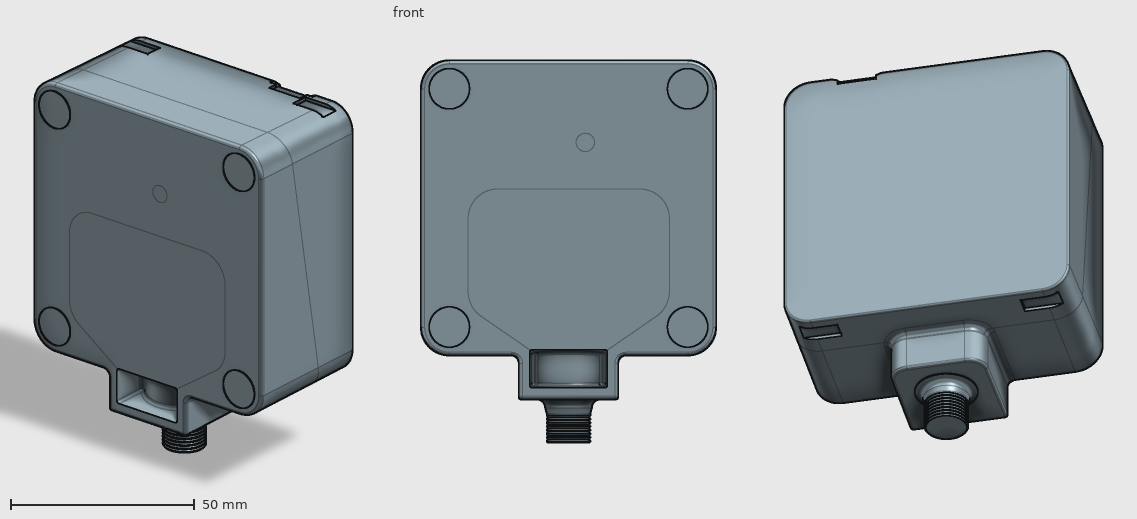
import cadquery as cq
import math


PICK_MARGIN = 1.0

HOUSING_SIZE = 80.47
HOUSING_DEPTH = 40.1
HOUSING_CORNER_RADIUS = 7.8
HOUSING_DRAFT_ANGLE = 0.5
FRONT_EDGE_RADIUS = 1.0
REAR_EDGE_RADIUS = 0.6
HALF_SIZE = HOUSING_SIZE / 2
CORNER_CENTRE = HALF_SIZE - HOUSING_CORNER_RADIUS

PARTING_DEPTH_TOP = 12.1
PARTING_DEPTH_BOTTOM = 26.0
PARTING_MARGIN = 5.0

PAD_DIAMETER = 11.0
PAD_HEIGHT = 0.2

INLAY_THICKNESS = 1.0
LED_DIAMETER = 5.0
LED_X = 4.5
LED_Z = 17.9
LABEL_HALF_WIDTH = 27.4
LABEL_TOP = 5.2
LABEL_SIDE_BOTTOM = -27.0
LABEL_CORNER_RADIUS = 8.0

LUG_HALF_WIDTH = 13.6
LUG_BOTTOM = -52.2
LUG_DEPTH = 29.3
LUG_REAR_CORNER_RADIUS = 5.3
LUG_ROOT_RADIUS = 2.0
LUG_EDGE_RADIUS = 0.8
LUG_OVERLAP = 5.0

WINDOW_HALF_WIDTH = 10.6
WINDOW_TOP = -38.6
WINDOW_BOTTOM = -49.0
WINDOW_DEPTH = 9.6
WINDOW_DRAFT_ANGLE = 3.4
WINDOW_CORNER_RADIUS = 0.8
NECK_RADIUS = 10.8
NECK_FOOT_RADIUS = 1.0

CONNECTOR_DEPTH = 16.1
OVERALL_HEIGHT = 104.24
CONNECTOR_END = HALF_SIZE - OVERALL_HEIGHT
THREAD_RADIUS = 6.0
THREAD_ROOT_RADIUS = 5.6
THREAD_PITCH = 1.0
THREAD_TURNS = 7
COLLAR_RADIUS = 6.4
COLLAR_HEIGHT = 1.5
FLARE_RADIUS = 2.2
STEM_OVERLAP = 1.0

NOTCH_FRONT = 31.5
NOTCH_REAR = 36.9
NOTCH_INNER_X = 25.6
NOTCH_FLOOR = 38.9

LATCH_CENTRE_X = 19.45
LATCH_WIDTH = 16.8
LATCH_FRONT = 38.4
LATCH_FLOOR = 39.0
TONGUE_WIDTH = 10.8
TONGUE_FRONT = 35.3
GROOVE_FRONT = 39.2
GROOVE_FLOOR = 37.8


def box_between(x_range, y_range, z_range):
    """Axis-aligned box given by its lower and upper limits."""
    size = [high - low for low, high in (x_range, y_range, z_range)]
    return (
        cq.Workplane("XY")
        .box(*size, centered=False)
        .translate((x_range[0], y_range[0], z_range[0]))
    )


def front_plane():
    """Sketch plane on the front face: local x is X, local y is Z, normal is -Y."""
    return cq.Workplane("XZ")


def depth_plane():
    """Sketch plane on the front face that extrudes rearwards: local x is -X, local y is Z."""
    return cq.Workplane(cq.Plane((0, 0, 0), xDir=(-1, 0, 0), normal=(0, 1, 0)))


def make_housing():
    """Rounded square block that narrows slightly towards the rear."""
    front_growth = FRONT_EDGE_RADIUS * math.tan(math.radians(HOUSING_DRAFT_ANGLE))
    front_size = HOUSING_SIZE + 2 * front_growth
    corner_radius = HOUSING_CORNER_RADIUS + front_growth
    outline = cq.Sketch().rect(front_size, front_size).vertices().fillet(corner_radius)
    block = (
        depth_plane()
        .placeSketch(outline)
        .extrude(HOUSING_DEPTH, taper=HOUSING_DRAFT_ANGLE)
    )
    return block.faces(">Y").edges().fillet(REAR_EDGE_RADIUS)


def make_lug():
    """Drafted block, rounded at the rear corners and along the bottom."""
    lug_top = LUG_OVERLAP - HALF_SIZE
    block = (
        depth_plane()
        .center(0, (lug_top + LUG_BOTTOM) / 2)
        .rect(2 * LUG_HALF_WIDTH, lug_top - LUG_BOTTOM)
        .extrude(LUG_DEPTH, taper=HOUSING_DRAFT_ANGLE)
    )
    block = block.faces(">Y").edges("|Z").fillet(LUG_REAR_CORNER_RADIUS)
    return block.faces("<Z").edges("not <Y").fillet(LUG_EDGE_RADIUS)


def round_lug_root(body):
    """Blend the sides and rear of the lug into the underside of the housing."""
    root_box = cq.selectors.BoxSelector(
        (-LUG_HALF_WIDTH - PICK_MARGIN, 0, -HALF_SIZE - PICK_MARGIN),
        (LUG_HALF_WIDTH + PICK_MARGIN, LUG_DEPTH + PICK_MARGIN, -HALF_SIZE + PICK_MARGIN),
    )
    return body.edges(root_box).fillet(LUG_ROOT_RADIUS)


def make_window():
    """Drafted pocket volume, less the rounded neck that stands at its back."""
    height = WINDOW_TOP - WINDOW_BOTTOM
    pocket = (
        depth_plane()
        .center(0, (WINDOW_TOP + WINDOW_BOTTOM) / 2)
        .rect(2 * WINDOW_HALF_WIDTH, height)
        .extrude(WINDOW_DEPTH, taper=WINDOW_DRAFT_ANGLE)
        .edges("not <Y")
        .fillet(WINDOW_CORNER_RADIUS)
    )
    neck = (
        cq.Workplane("XY", origin=(0, CONNECTOR_DEPTH, WINDOW_BOTTOM))
        .circle(NECK_RADIUS)
        .extrude(height)
    )
    return pocket.cut(neck).edges("%ELLIPSE").edges(">Y").fillet(NECK_FOOT_RADIUS)


def make_connector():
    """Flared stem with ring-shaped thread crests, turned about a vertical axis."""
    thread_top = CONNECTOR_END + (THREAD_TURNS + 0.5) * THREAD_PITCH
    flare_bottom = LUG_BOTTOM - FLARE_RADIUS
    flare_rim = COLLAR_RADIUS + FLARE_RADIUS
    flare_inset = FLARE_RADIUS * (1 - math.sqrt(0.5))
    profile = (
        cq.Workplane("XZ")
        .moveTo(0, LUG_BOTTOM + STEM_OVERLAP)
        .lineTo(flare_rim, LUG_BOTTOM + STEM_OVERLAP)
        .lineTo(flare_rim, LUG_BOTTOM)
        .threePointArc(
            (COLLAR_RADIUS + flare_inset, LUG_BOTTOM - flare_inset),
            (COLLAR_RADIUS, flare_bottom),
        )
        .lineTo(THREAD_RADIUS, flare_bottom - COLLAR_HEIGHT)
        .lineTo(THREAD_RADIUS, thread_top)
    )
    for turn in range(THREAD_TURNS):
        crest_z = thread_top - turn * THREAD_PITCH
        profile = profile.lineTo(THREAD_ROOT_RADIUS, crest_z - THREAD_PITCH / 2)
        profile = profile.lineTo(THREAD_RADIUS, crest_z - THREAD_PITCH)
    profile = profile.lineTo(THREAD_ROOT_RADIUS, CONNECTOR_END).lineTo(0, CONNECTOR_END).close()
    stem = profile.revolve(360, (0, 0, 0), (0, 1, 0))
    return stem.translate((0, CONNECTOR_DEPTH, 0))


def make_notches():
    """Four shallow notches near the corners of the top and bottom faces."""
    notch = box_between(
        (NOTCH_INNER_X, HALF_SIZE),
        (NOTCH_FRONT, NOTCH_REAR),
        (NOTCH_FLOOR, HALF_SIZE),
    )
    pair = notch.union(notch.mirror("YZ"))
    return pair.union(pair.mirror("XY"))


def make_latch_recess():
    """Sloped-end recess in the top rear edge, with a tongue forwards and a groove at the rear."""
    half_width = LATCH_WIDTH / 2
    half_tongue = TONGUE_WIDTH / 2
    tongue_x = (LATCH_CENTRE_X - half_tongue, LATCH_CENTRE_X + half_tongue)
    recess = (
        cq.Workplane("XZ", origin=(LATCH_CENTRE_X, LATCH_FRONT, 0))
        .polyline([
            (-half_width, HALF_SIZE),
            (half_width, HALF_SIZE),
            (half_tongue, LATCH_FLOOR),
            (-half_tongue, LATCH_FLOOR),
        ])
        .close()
        .extrude(LATCH_FRONT - HOUSING_DEPTH)
    )
    tongue = box_between(tongue_x, (TONGUE_FRONT, HOUSING_DEPTH), (LATCH_FLOOR, HALF_SIZE))
    groove = box_between(tongue_x, (GROOVE_FRONT, HOUSING_DEPTH), (GROOVE_FLOOR, HALF_SIZE))
    return recess.union(tongue).union(groove)


def make_pads():
    """Thin round pads concentric with the housing corners."""
    return (
        front_plane()
        .rect(2 * CORNER_CENTRE, 2 * CORNER_CENTRE, forConstruction=True)
        .vertices()
        .circle(PAD_DIAMETER / 2)
        .extrude(PAD_HEIGHT)
    )


def make_label():
    """Label plate whose lower sides converge on the lug window."""
    corners_above_window = cq.selectors.BoxSelector(
        (-HALF_SIZE, 0, LABEL_SIDE_BOTTOM - PICK_MARGIN),
        (HALF_SIZE, INLAY_THICKNESS, LABEL_TOP + PICK_MARGIN),
    )
    return (
        front_plane()
        .polyline([
            (-LABEL_HALF_WIDTH, LABEL_TOP),
            (LABEL_HALF_WIDTH, LABEL_TOP),
            (LABEL_HALF_WIDTH, LABEL_SIDE_BOTTOM),
            (WINDOW_HALF_WIDTH, WINDOW_TOP),
            (-WINDOW_HALF_WIDTH, WINDOW_TOP),
            (-LABEL_HALF_WIDTH, LABEL_SIDE_BOTTOM),
        ])
        .close()
        .extrude(-INLAY_THICKNESS)
        .edges("|Y")
        .edges(corners_above_window)
        .fillet(LABEL_CORNER_RADIUS)
    )


def make_led():
    """Round indicator window."""
    return front_plane().center(LED_X, LED_Z).circle(LED_DIAMETER / 2).extrude(-INLAY_THICKNESS)


def set_flush(body, inlay):
    """Seat an inlay flush in the body, keeping its outline as a joint line."""
    return body.cut(inlay, clean=False).union(inlay, clean=False)


def make_front_shell_region():
    """Everything in front of the sloping parting plane, and all of the lug below its root."""
    slope = (PARTING_DEPTH_BOTTOM - PARTING_DEPTH_TOP) / HOUSING_SIZE
    top = HALF_SIZE + PARTING_MARGIN
    root = -HALF_SIZE - LUG_ROOT_RADIUS
    bottom = LUG_BOTTOM - PARTING_MARGIN
    rear = HOUSING_DEPTH + PARTING_MARGIN
    return (
        cq.Workplane("YZ")
        .polyline([
            (-PARTING_MARGIN, top),
            (PARTING_DEPTH_TOP + slope * (HALF_SIZE - top), top),
            (PARTING_DEPTH_TOP + slope * (HALF_SIZE - root), root),
            (rear, root),
            (rear, bottom),
            (-PARTING_MARGIN, bottom),
        ])
        .close()
        .extrude(HOUSING_SIZE, both=True)
    )


body = round_lug_root(make_housing().union(make_lug()))
body = body.faces("<Y").edges().fillet(FRONT_EDGE_RADIUS)
body = body.cut(make_window()).cut(make_notches()).cut(make_latch_recess())

front_region = make_front_shell_region()
front_shell = body.intersect(front_region)
rear_shell = body.cut(front_region)
front_shell = set_flush(front_shell, make_label())
front_shell = set_flush(front_shell, make_led())
body = front_shell.union(rear_shell, clean=False)

result = body.union(make_connector(), clean=False).union(make_pads(), clean=False)